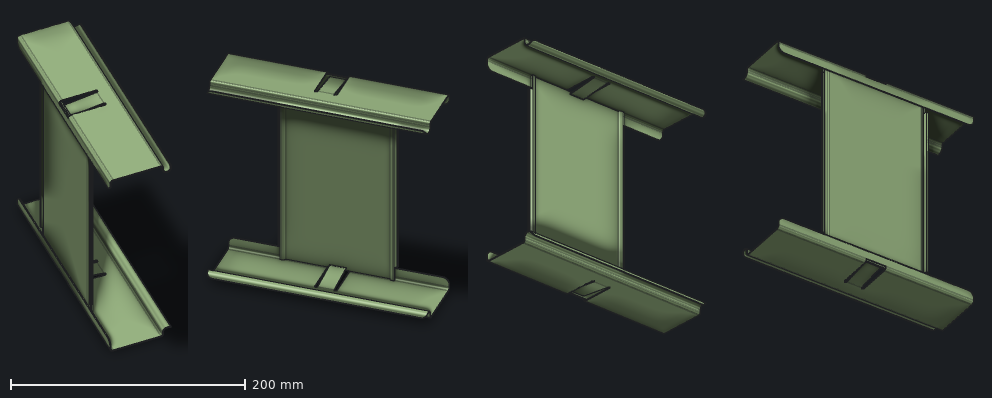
import cadquery as cq
import math

length = 200.0
depth = 58.2
height = 198.5
front = -depth / 2
back = depth / 2
top = height / 2

sheet = 1.0
front_bend = 3.2
back_bend = 2.5
flange_drop = 12.0
hook_radius = 4.7
hook_drop = 9.5
flange_corner = 6.0
hook_corner = 5.5

slot_span = 20.0
slot_width = 2.5
tongue_root = 5.2
tongue_drop = 3.8

web_sheet = 1.5
web_gap = 0.5
web_end_gap = 1.0
web_half_width = 54.2
panel_half_width = 47.0
bead_run = 1.5
groove_depth = 2.2
groove_floor = 0.8
lip_setback = 15.0

flange_inside = front + sheet
web_front = flange_inside + web_gap
web_back = web_front + web_sheet
web_half_height = top - sheet - web_end_gap
hook_y = back - hook_radius
hook_z = top - hook_drop + hook_radius
upright_front = hook_y - hook_radius
upright_back = upright_front + sheet


def arc_point(center, radius, degrees):
    angle = math.radians(degrees)
    return (center[0] + radius * math.cos(angle), center[1] + radius * math.sin(angle))


def rail_strip():
    """Bent strip of the upper rail, swept along X."""
    front_center = (front + front_bend, top - front_bend)
    back_center = (upright_back - back_bend, top - back_bend)
    hook_center = (hook_y, hook_z)
    front_inner = front_bend - sheet
    back_inner = back_bend - sheet
    hook_inner = hook_radius - sheet
    flange_end = top - flange_drop
    outline = (
        cq.Workplane("YZ", origin=(-length / 2, 0, 0))
        .moveTo(front, flange_end)
        .lineTo(front, front_center[1])
        .threePointArc(arc_point(front_center, front_bend, 135), (front_center[0], top))
        .lineTo(back_center[0], top)
        .threePointArc(arc_point(back_center, back_bend, 45), (upright_back, back_center[1]))
        .lineTo(upright_back, hook_z)
        .threePointArc((hook_y, hook_z - hook_inner), (back - sheet, hook_z))
        .lineTo(back, hook_z)
        .threePointArc(arc_point(hook_center, hook_radius, 270), (upright_front, hook_z))
        .lineTo(upright_front, back_center[1])
        .threePointArc(arc_point(back_center, back_inner, 45), (back_center[0], top - sheet))
        .lineTo(front_center[0], top - sheet)
        .threePointArc(arc_point(front_center, front_inner, 135), (flange_inside, front_center[1]))
        .lineTo(flange_inside, flange_end)
        .close()
    )
    strip = outline.extrude(length)
    flange_corners = cq.selectors.BoxSelector(
        (-length, front - sheet, flange_end - sheet),
        (length, flange_inside + sheet, flange_end + sheet),
    )
    return strip.edges("|Y").edges(flange_corners).fillet(flange_corner)


def hook_corner_cut(side):
    """Cutter that rounds one corner of the free edge of the hook."""
    end = side * length / 2
    arc_center = (end - side * hook_corner, hook_z - hook_corner)
    arc_middle = arc_point(arc_center, hook_corner, 90 - side * 45)
    return (
        cq.Workplane("XZ", origin=(0, hook_y, 0))
        .moveTo(end, hook_z)
        .lineTo(arc_center[0], hook_z)
        .threePointArc(arc_middle, (end, arc_center[1]))
        .close()
        .extrude(-2 * hook_radius)
    )


def tongue_opening():
    """Opening round the tongue: rounded slot ends at the back, open through the front bend."""
    opening_depth = tongue_root - front
    opening = cq.Workplane("XY").box(slot_span, opening_depth, front_bend, centered=(True, False, False))
    opening = opening.translate((0, front, top - front_bend))
    slot_x = (slot_span - slot_width) / 2
    round_ends = (
        cq.Workplane("XY", origin=(0, tongue_root, top - front_bend))
        .pushPoints([(-slot_x, 0), (slot_x, 0)])
        .circle(slot_width / 2)
        .extrude(front_bend)
    )
    return opening.union(round_ends)


def tongue():
    """Tongue sloping from the plate down to the back of the web."""
    width = slot_span - 2 * slot_width
    return (
        cq.Workplane("YZ")
        .moveTo(tongue_root, top)
        .lineTo(web_back, top - tongue_drop)
        .lineTo(web_back, top - tongue_drop - sheet)
        .lineTo(tongue_root, top - sheet)
        .close()
        .extrude(width / 2, both=True)
    )


def upper_rail():
    rail = rail_strip()
    for side in (-1, 1):
        rail = rail.cut(hook_corner_cut(side))
    return rail.cut(tongue_opening()).union(tongue())


def half_web():
    """Half of the web at +X, with its groove and its shortened lip."""
    bend_angle = 2 * math.atan(groove_depth / 2 / bead_run)
    bend_radius = bead_run / math.sin(bend_angle)
    lean = math.degrees(bend_angle)
    outer_center = (panel_half_width, web_front + bend_radius)
    inner_center = (panel_half_width + 2 * bead_run, web_front + groove_depth - bend_radius)
    floor_y = web_front + groove_depth
    floor_end = inner_center[0] + groove_floor
    lip_start = floor_end + bead_run
    miter = web_sheet * math.tan(math.atan(groove_depth / bead_run) / 2)
    outer_back = bend_radius - web_sheet
    inner_back = bend_radius + web_sheet

    section = (
        cq.Workplane("XY", origin=(0, 0, -web_half_height))
        .moveTo(0, web_front)
        .lineTo(panel_half_width, web_front)
        .threePointArc(
            arc_point(outer_center, bend_radius, -90 + lean / 2),
            arc_point(outer_center, bend_radius, -90 + lean),
        )
        .threePointArc(
            arc_point(inner_center, bend_radius, 90 + lean / 2),
            (inner_center[0], floor_y),
        )
        .lineTo(floor_end, floor_y)
        .lineTo(lip_start, web_front)
        .lineTo(web_half_width, web_front)
        .lineTo(web_half_width, web_back)
        .lineTo(lip_start + miter, web_back)
        .lineTo(floor_end + miter, floor_y + web_sheet)
        .lineTo(inner_center[0], floor_y + web_sheet)
        .threePointArc(
            arc_point(inner_center, inner_back, 90 + lean / 2),
            arc_point(inner_center, inner_back, 90 + lean),
        )
        .threePointArc(
            arc_point(outer_center, outer_back, -90 + lean / 2),
            (panel_half_width, web_back),
        )
        .lineTo(0, web_back)
        .close()
    )
    web = section.extrude(2 * web_half_height)

    notch_start = floor_end + miter
    notch = cq.Workplane("XY").box(
        web_half_width - notch_start, depth, lip_setback, centered=(False, True, False)
    )
    upper_notch = notch.translate((notch_start, 0, top - lip_setback))
    return web.cut(upper_notch).cut(upper_notch.mirror("XY"))


rail = upper_rail()
web = half_web()
result = web.union(web.mirror("YZ")).union(rail).union(rail.mirror("XY"))